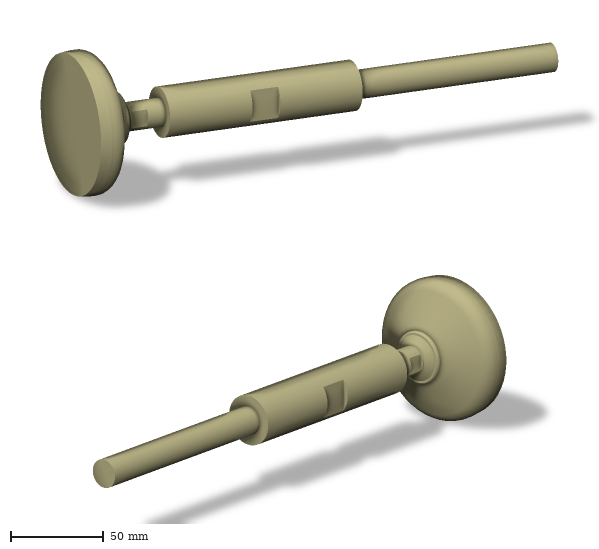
import cadquery as cq
import math

total_length = 286.5

pad_diameter = 80.0
pad_base_diameter = 78.5
pad_top_diameter = 27.0
pad_height = 25.5
band_bottom = 6.3
band_top = 8.5
shoulder_radius = 8.0

rod_diameter = 16.0
sleeve_diameter = 28.0
sleeve_start = 52.7
sleeve_length = 114.5
collar_diameter = sleeve_diameter
collar_thickness = 3.2
flare_diameter = 25.8
collar_bulge = 1.0
flare_height = 3.5
neck_land = 1.0

sleeve_flat_length = 16.5
sleeve_across_flats = 21.8
neck_flat_length = 9.5
neck_across_flats = 13.0

collar_top = pad_height + collar_thickness
flare_top = collar_top + flare_height
neck_flat_start = flare_top + neck_land
sleeve_end = sleeve_start + sleeve_length
sleeve_flat_start = sleeve_start + (sleeve_length - sleeve_flat_length) / 2


def revolve_about_y(profile):
    return profile.close().revolve(360, (0, 0, 0), (0, 1, 0))


def make_pad():
    """Conical pad whose shoulder arc is tangent to both the cone and the rim band."""
    rim_radius = pad_diameter / 2
    top_radius = pad_top_diameter / 2
    center_r = rim_radius - shoulder_radius
    center_y = band_top

    run = top_radius - center_r
    rise = pad_height - center_y
    tangent_angle = math.atan2(rise, run) - math.acos(shoulder_radius / math.hypot(run, rise))

    def shoulder_point(angle):
        return (
            center_r + shoulder_radius * math.cos(angle),
            center_y + shoulder_radius * math.sin(angle),
        )

    return revolve_about_y(
        cq.Workplane("XY")
        .lineTo(pad_base_diameter / 2, 0)
        .lineTo(rim_radius, band_bottom)
        .lineTo(rim_radius, band_top)
        .threePointArc(shoulder_point(tangent_angle / 2), shoulder_point(tangent_angle))
        .lineTo(top_radius, pad_height)
        .lineTo(0, pad_height)
    )


def flats_cutter(start, length, across_flats, outer_diameter):
    """Two blocks that leave a pair of flats facing -X and +X."""
    depth = outer_diameter / 2
    offset = (across_flats + depth) / 2
    return (
        cq.Workplane("XY")
        .pushPoints([(-offset, start + length / 2), (offset, start + length / 2)])
        .rect(depth, length)
        .extrude(outer_diameter / 2, both=True)
    )


def make_spindle():
    """Rod with a sleeve, a flared collar at its foot and two pairs of wrench flats."""
    rod_radius = rod_diameter / 2
    sleeve_radius = sleeve_diameter / 2
    collar_radius = collar_diameter / 2
    bulge_point = (collar_radius + collar_bulge, pad_height + collar_thickness / 2)
    spindle = revolve_about_y(
        cq.Workplane("XY")
        .moveTo(0, pad_height)
        .lineTo(collar_radius, pad_height)
        .threePointArc(bulge_point, (collar_radius, collar_top))
        .lineTo(flare_diameter / 2, collar_top)
        .lineTo(rod_radius, flare_top)
        .lineTo(rod_radius, sleeve_start)
        .lineTo(sleeve_radius, sleeve_start)
        .lineTo(sleeve_radius, sleeve_end)
        .lineTo(rod_radius, sleeve_end)
        .lineTo(rod_radius, total_length)
        .lineTo(0, total_length)
    )
    sleeve_flats = flats_cutter(
        sleeve_flat_start, sleeve_flat_length, sleeve_across_flats, sleeve_diameter
    )
    neck_flats = flats_cutter(neck_flat_start, neck_flat_length, neck_across_flats, rod_diameter)
    return spindle.cut(sleeve_flats).cut(neck_flats)


pad = make_pad()
spindle = make_spindle()
result = cq.Compound.makeCompound([pad.val(), spindle.val()])